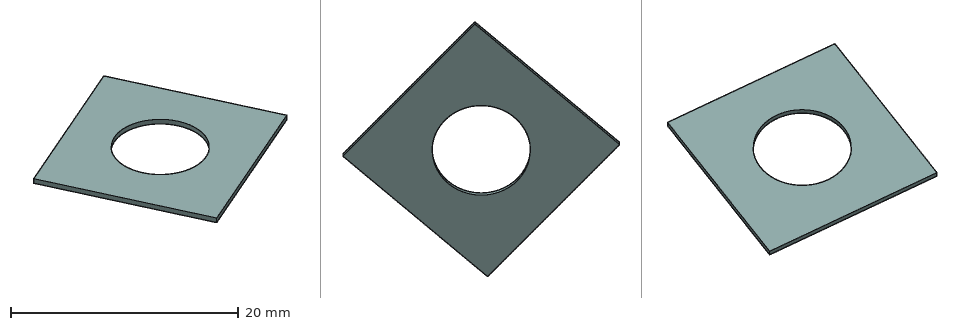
import cadquery as cq

plate_side = 17.27
plate_thickness = 0.5
hole_diameter = 8.64

plate = cq.Workplane("XY").box(plate_side, plate_side, plate_thickness)
result = plate.faces(">Z").workplane().hole(hole_diameter)